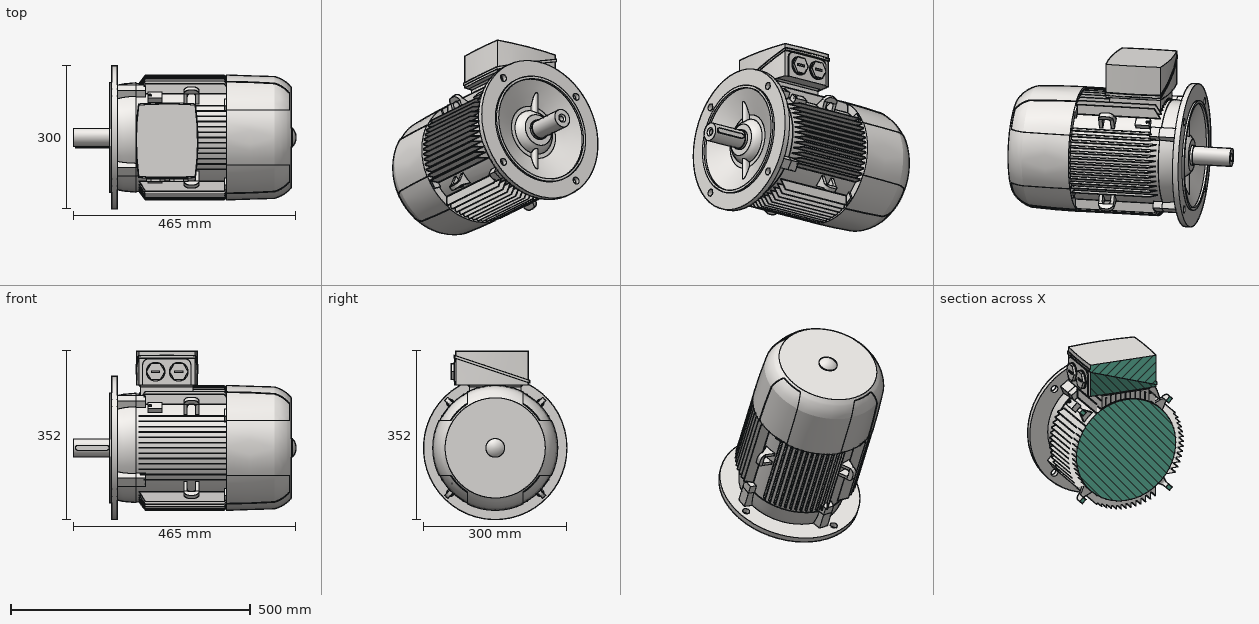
import cadquery as cq
import math


shaft_radius = 19.0
shoulder_radius = 21.0
shoulder_x = 80.0
centre_hole_radius = 5.5
centre_hole_mouth_radius = 9.0
centre_hole_depth = 28.0
drill_point_angle = 118
key_start_x = 4.0
key_length = 70.0
key_width = 10.0
key_height = 8.0
key_top = 22.0

flange_diameter = 300.0
flange_radius = flange_diameter / 2
flange_face_x = 79.5
flange_thickness = 12.0
spigot_radius = 115.0
spigot_height = 4.0
bolt_circle_radius = 132.5
bolt_hole_radius = 7.5
bolt_hole_count = 4
first_bolt_hole_angle = 45
shield_front_radius = 109.5
shield_mid_radius = 113.0
shield_rear_radius = 114.5
shield_rear_x = 130.5
dish_mouth_radius = 109.5
dish_lip = 4.5
dish_floor_radius = 56.5
dish_floor_x = 102.5
hub_radius = 47.5
hub_face_x = 85.0
hub_face_radius = 33.5
hub_bulge = 2.0
rib_width = 12.5
rib_crest_x = 90.0
rib_inner_radius = 30.0
rib_outer_radius = 93.0

frame_radius = 113.0
frame_rear_x = 319.5
fin_tip_radius = 130.0
fin_thickness = 1.5
fins_each_side = 6
outermost_fin_offset = 66.5
fin_pitch = outermost_fin_offset / fins_each_side
fin_front_x = 137.0
fin_full_height_x = 150.0
fin_rear_bevel = 4.5

quarter_turns = (0, 90, 180, 270)
boss_root_radius = 93.0
boss_draft = 12
lug_angle = 55.3
lug_width = 21.0
lug_top_radius = 126.0
lug_rear_x = 150.0
clip_angle = 35
clip_width = 18.0
clip_top_radius = 128.0
clip_length = 4.0
earth_pad_angles = (45, 135)
earth_pad_width = 17.5
earth_pad_top_radius = 125.0
earth_pad_start_x = 155.5
earth_pad_length = 29.8
earth_hole_offset = 4.5
earth_hole_radius = 3.0
earth_hole_depth = 4.5

eye_angle = 45
eye_centre_x = 246.5
eye_length = 32.0
eye_tip_radius = 144.5
eye_tip_thickness = 9.5
eye_shoulder_radius = 132.5
eye_root_radius = 112.0
eye_root_thickness = 26.0
eye_corner_radius = 12.0
eye_hole_length = 17.5
eye_hole_top_radius = 133.0
eye_hole_corner_radius = 5.5

neck_start_x = 140.0
neck_end_x = 249.2
neck_half_width = 53.5
neck_flare = 3.5
neck_flare_angle = 45
box_bottom_z = 131.0

cover_mouth_radius = 130.5
cover_middle_x = 369.5
cover_middle_radius = 129.7
cover_shoulder_x = 420.0
cover_shoulder_radius = 127.5
cover_curve_x = 440.0
cover_curve_radius = 118.5
cover_end_x = 455.2
cover_end_radius = 104.5
panel_edge = 57.5
panel_end_x = 450.5
panel_depth = 1.5
cap_radius = 19.5
cap_rim = 2.0
cap_end_x = 465.0

box_centre_x = 195.5
box_corner_half_length = 58.5
box_middle_half_length = 63.5
box_end_bow = 2.0
box_front_y = -83.2
box_back_y = 69.8
overall_height = 352.0
box_top_z = overall_height - flange_radius
rim_overhang = 2.5
rim_side_overhang = 1.0
rim_bottom_front_z = 188.0
rim_bottom_back_z = 135.5
rim_height = 5.5
gland_plate_start_x = 144.5
gland_plate_end_x = 245.0
gland_plate_top_z = 186.0
gland_plate_corner = 12.5
gland_plate_thickness = 1.5
plug_xs = (171.5, 220.0)
plug_z = 159.0
plug_collar_radius = 19.5
plug_collar_thickness = 2.0
plug_hex_width = 33.5
plug_hex_sides = 6
plug_face_y = -92.0
plug_slot_length = 17.0
plug_slot_width = 3.5
plug_slot_depth = 1.5


def revolved(profile):
    """Turn a profile of (x, radius) drawn in the XY plane about the motor axis."""
    return profile.close().revolve(360, (0, 0, 0), (1, 0, 0))


def disc(start_x, end_x, radius):
    return cq.Workplane("YZ", origin=(start_x, 0, 0)).circle(radius).extrude(end_x - start_x)


def block(x_range, y_range, z_range):
    corner = (x_range[0], y_range[0], z_range[0])
    size = (x_range[1] - x_range[0], y_range[1] - y_range[0], z_range[1] - z_range[0])
    return cq.Workplane("XY").box(*size, centered=False).translate(corner)


def about_axis(shape, angle):
    """Carry a shape standing on the -Y side round the axis, towards +Z."""
    return shape.rotate((0, 0, 0), (1, 0, 0), -angle)


def radial_boss(start_x, end_x, width, top_radius, draft=0):
    """Boss on the -Y side, as wide as given at its top and spreading inwards by the draft angle."""
    top_half = width / 2
    root_half = top_half + (top_radius - boss_root_radius) * math.tan(math.radians(draft))
    return (
        cq.Workplane("YZ", origin=(start_x, 0, 0))
        .moveTo(-top_radius, -top_half)
        .lineTo(-top_radius, top_half)
        .lineTo(-boss_root_radius, root_half)
        .lineTo(-boss_root_radius, -root_half)
        .close()
        .extrude(end_x - start_x)
    )


def make_shaft():
    shaft = disc(0, shoulder_x, shaft_radius).union(disc(shoulder_x, shield_rear_x, shoulder_radius))
    mouth_depth = centre_hole_mouth_radius - centre_hole_radius
    point_depth = centre_hole_radius / math.tan(math.radians(drill_point_angle / 2))
    centre_hole = revolved(
        cq.Workplane("XY")
        .moveTo(0, 0)
        .lineTo(0, centre_hole_mouth_radius)
        .lineTo(mouth_depth, centre_hole_radius)
        .lineTo(centre_hole_depth, centre_hole_radius)
        .lineTo(centre_hole_depth + point_depth, 0)
    )
    return shaft.cut(centre_hole)


def make_key():
    return (
        cq.Workplane("XZ", origin=(key_start_x + key_length / 2, key_height - key_top, 0))
        .slot2D(key_length, key_width)
        .extrude(key_height)
    )


def make_hub():
    """Flat-faced hub whose side swells slightly between its face and the dish floor."""
    return revolved(
        cq.Workplane("XY")
        .moveTo(dish_floor_x, 0)
        .lineTo(dish_floor_x, hub_radius)
        .sagittaArc((hub_face_x, hub_face_radius), -hub_bulge)
        .lineTo(hub_face_x, 0)
    )


def make_dish_ribs():
    """One upright bar across the dish with a half-round crest, open over the hub."""
    crest_radius = rib_width / 2
    crest_axis_x = rib_crest_x + crest_radius
    rear_x = dish_floor_x + rib_width
    upper = (
        cq.Workplane("XY", origin=(0, 0, rib_inner_radius))
        .moveTo(rear_x, -crest_radius)
        .lineTo(crest_axis_x, -crest_radius)
        .threePointArc((rib_crest_x, 0), (crest_axis_x, crest_radius))
        .lineTo(rear_x, crest_radius)
        .close()
        .extrude(rib_outer_radius - rib_inner_radius)
    )
    return upper.union(upper.mirror("XY"))


def make_flange_shield():
    flange_rear_x = flange_face_x + flange_thickness
    shield_mid_x = (flange_rear_x + shield_rear_x) / 2
    spigot_face_x = flange_face_x - spigot_height
    shield = revolved(
        cq.Workplane("XY")
        .moveTo(shield_rear_x, 0)
        .lineTo(shield_rear_x, shield_rear_radius)
        .threePointArc((shield_mid_x, shield_mid_radius), (flange_rear_x, shield_front_radius))
        .lineTo(flange_rear_x, flange_radius)
        .lineTo(flange_face_x, flange_radius)
        .lineTo(flange_face_x, spigot_radius)
        .lineTo(spigot_face_x, spigot_radius)
        .lineTo(spigot_face_x, dish_mouth_radius)
        .lineTo(spigot_face_x + dish_lip, dish_mouth_radius)
        .lineTo(dish_floor_x, dish_floor_radius)
        .lineTo(dish_floor_x, 0)
    )
    shield = shield.union(make_hub()).union(make_dish_ribs())
    for turn in quarter_turns:
        lug = radial_boss(flange_rear_x, shield_rear_x, lug_width, lug_top_radius, boss_draft)
        shield = shield.union(about_axis(lug, lug_angle + turn))
    bolt_holes = (
        cq.Workplane("YZ", origin=(flange_face_x, 0, 0))
        .polarArray(bolt_circle_radius, first_bolt_hole_angle, 360, bolt_hole_count)
        .circle(bolt_hole_radius)
        .extrude(flange_thickness)
    )
    bore = disc(hub_face_x, shield_rear_x, shoulder_radius)
    return shield.cut(bolt_holes).cut(bore)


def make_fins():
    """Parallel plates in both directions, trimmed to a bevelled round envelope."""
    envelope = revolved(
        cq.Workplane("XY")
        .moveTo(fin_front_x, 0)
        .lineTo(fin_front_x, frame_radius)
        .lineTo(fin_full_height_x, fin_tip_radius)
        .lineTo(frame_rear_x - fin_rear_bevel, fin_tip_radius)
        .lineTo(frame_rear_x, fin_tip_radius - fin_rear_bevel)
        .lineTo(frame_rear_x, 0)
    )
    length = frame_rear_x - fin_front_x
    offsets = [step * fin_pitch for step in range(-fins_each_side, fins_each_side + 1)]
    start = cq.Workplane("YZ", origin=(fin_front_x, 0, 0))
    flat_fins = start.pushPoints([(0, z) for z in offsets])
    flat_fins = flat_fins.rect(2 * fin_tip_radius, fin_thickness).extrude(length)
    upright_fins = start.pushPoints([(y, 0) for y in offsets])
    upright_fins = upright_fins.rect(fin_thickness, 2 * fin_tip_radius).extrude(length)
    core = disc(shield_rear_x, frame_rear_x, frame_radius)
    return core.union(flat_fins.intersect(envelope)).union(upright_fins.intersect(envelope))


def make_lifting_eye():
    """A loop on the -Y side of the frame, flat-sided at its tip and spreading to its root."""
    tip_half = eye_tip_thickness / 2
    spread = (eye_root_thickness / 2 - tip_half) / (eye_shoulder_radius - eye_root_radius)
    base_half = tip_half + spread * (eye_shoulder_radius - boss_root_radius)
    wedge = (
        cq.Workplane("YZ", origin=(eye_centre_x - eye_length / 2, 0, 0))
        .moveTo(-boss_root_radius, -base_half)
        .lineTo(-eye_shoulder_radius, -tip_half)
        .lineTo(-eye_tip_radius, -tip_half)
        .lineTo(-eye_tip_radius, tip_half)
        .lineTo(-eye_shoulder_radius, tip_half)
        .lineTo(-boss_root_radius, base_half)
        .close()
        .extrude(eye_length)
    )

    def arch(length, top_radius, corner_radius):
        return (
            block(
                (eye_centre_x - length / 2, eye_centre_x + length / 2),
                (-top_radius, -boss_root_radius),
                (-eye_root_thickness, eye_root_thickness),
            )
            .edges("|Z and <Y")
            .fillet(corner_radius)
        )

    outline = arch(eye_length, eye_tip_radius, eye_corner_radius)
    hole = arch(eye_hole_length, eye_hole_top_radius, eye_hole_corner_radius)
    return wedge.intersect(outline).cut(hole)


def make_earth_pad():
    end_x = earth_pad_start_x + earth_pad_length
    pad = radial_boss(earth_pad_start_x, end_x, earth_pad_width, earth_pad_top_radius)
    hole = (
        cq.Workplane("XZ", origin=(earth_pad_start_x + earth_hole_offset, -earth_pad_top_radius, 0))
        .circle(earth_hole_radius)
        .extrude(-earth_hole_depth)
    )
    return pad.cut(hole)


def make_neck():
    flare_z = box_bottom_z - neck_flare
    neck = block(
        (neck_start_x, neck_end_x),
        (-neck_half_width, neck_half_width),
        (boss_root_radius, flare_z),
    )
    return neck.faces(">Z").wires().toPending().workplane().extrude(neck_flare, taper=-neck_flare_angle)


def make_frame():
    frame = make_fins().union(make_neck())
    core = disc(shield_rear_x, frame_rear_x, frame_radius)
    lug = radial_boss(shield_rear_x, lug_rear_x, lug_width, lug_top_radius, boss_draft)
    clip_start_x = frame_rear_x - clip_length
    clip = radial_boss(clip_start_x, frame_rear_x, clip_width, clip_top_radius, boss_draft)
    eye = make_lifting_eye().cut(core)
    for turn in quarter_turns:
        frame = frame.union(about_axis(lug, lug_angle + turn))
        frame = frame.union(about_axis(clip, clip_angle + turn))
        frame = frame.union(about_axis(eye, eye_angle + turn))
    for angle in earth_pad_angles:
        frame = frame.union(about_axis(make_earth_pad(), angle))
    return frame


def make_cover_shell(inset):
    return revolved(
        cq.Workplane("XY")
        .moveTo(frame_rear_x, 0)
        .lineTo(frame_rear_x, cover_mouth_radius - inset)
        .threePointArc(
            (cover_middle_x, cover_middle_radius - inset),
            (cover_shoulder_x, cover_shoulder_radius - inset),
        )
        .threePointArc(
            (cover_curve_x, cover_curve_radius - inset),
            (cover_end_x, cover_end_radius - inset),
        )
        .lineTo(cover_end_x, 0)
    )


def make_fan_cover():
    """Round cover with four shallow corner panels and a domed cap at its end."""
    cover = make_cover_shell(0)
    inner_shell = make_cover_shell(panel_depth)
    reach = cover_mouth_radius
    corner = block((frame_rear_x, panel_end_x), (-reach, -panel_edge), (panel_edge, reach))
    panel = corner.cut(inner_shell)
    for turn in quarter_turns:
        cover = cover.cut(about_axis(panel, turn))
    cap_edge_x = cover_end_x + cap_rim
    cap_height = cap_end_x - cap_edge_x
    sphere_radius = (cap_radius**2 + cap_height**2) / (2 * cap_height)
    half_angle = math.asin(cap_radius / sphere_radius) / 2
    sphere_x = cap_end_x - sphere_radius
    cap_middle = (
        sphere_x + sphere_radius * math.cos(half_angle),
        sphere_radius * math.sin(half_angle),
    )
    cap = revolved(
        cq.Workplane("XY")
        .moveTo(cover_end_x, 0)
        .lineTo(cover_end_x, cap_radius)
        .lineTo(cap_edge_x, cap_radius)
        .threePointArc(cap_middle, (cap_end_x, 0))
    )
    return cover.union(cap)


def make_box_column(end_overhang=0, side_overhang=0):
    """Full-height column with four bowed walls, widened by the overhangs."""
    corner = box_corner_half_length + side_overhang
    middle = box_middle_half_length + side_overhang
    front_y = box_front_y - end_overhang
    back_y = box_back_y + end_overhang
    front_corner_y = front_y + box_end_bow
    back_corner_y = back_y - box_end_bow
    middle_y = (front_y + back_y) / 2
    return (
        cq.Workplane("XY", origin=(box_centre_x, 0, box_bottom_z))
        .moveTo(-corner, front_corner_y)
        .threePointArc((0, front_y), (corner, front_corner_y))
        .threePointArc((middle, middle_y), (corner, back_corner_y))
        .threePointArc((0, back_y), (-corner, back_corner_y))
        .threePointArc((-middle, middle_y), (-corner, front_corner_y))
        .close()
        .extrude(box_top_z - box_bottom_z)
    )


def make_sloping_slab(bottom_offset, top_offset):
    """Slab parallel to the lid joint, between two heights above the joint."""
    front_y = box_front_y - rim_overhang
    back_y = box_back_y + rim_overhang
    return (
        cq.Workplane("YZ", origin=(box_centre_x, 0, 0))
        .moveTo(front_y, rim_bottom_front_z + bottom_offset)
        .lineTo(back_y, rim_bottom_back_z + bottom_offset)
        .lineTo(back_y, rim_bottom_back_z + top_offset)
        .lineTo(front_y, rim_bottom_front_z + top_offset)
        .close()
        .extrude(box_middle_half_length + rim_side_overhang, both=True)
    )


def make_lid():
    above_joint = make_sloping_slab(0, box_top_z)
    rim_column = make_box_column(rim_overhang, rim_side_overhang)
    rim = rim_column.intersect(make_sloping_slab(0, rim_height))
    return make_box_column().intersect(above_joint).union(rim)


def make_plug(x):
    seat_y = box_front_y - gland_plate_thickness
    collar_y = seat_y - plug_collar_thickness
    collar = cq.Workplane("XZ", origin=(x, seat_y, plug_z))
    collar = collar.circle(plug_collar_radius).extrude(plug_collar_thickness)
    hexagon = cq.Workplane("XZ", origin=(x, collar_y, plug_z))
    hexagon = hexagon.transformed(rotate=(0, 0, 180 / plug_hex_sides))
    hexagon = hexagon.polygon(plug_hex_sides, plug_hex_width, circumscribed=True)
    hexagon = hexagon.extrude(collar_y - plug_face_y)
    slot = cq.Workplane("XZ", origin=(x, plug_face_y, plug_z))
    slot = slot.rect(plug_slot_length, plug_slot_width).extrude(-plug_slot_depth)
    return collar.union(hexagon).cut(slot)


def make_terminal_box():
    box = make_box_column().cut(make_sloping_slab(0, box_top_z))
    gland_plate = (
        block(
            (gland_plate_start_x, gland_plate_end_x),
            (box_front_y - gland_plate_thickness, box_front_y + box_end_bow),
            (box_bottom_z, gland_plate_top_z),
        )
        .edges("|Y and >Z")
        .fillet(gland_plate_corner)
    )
    box = box.union(gland_plate)
    for x in plug_xs:
        box = box.union(make_plug(x))
    return box


key = make_key()
shaft = make_shaft().cut(key)
flange_shield = make_flange_shield()
frame = make_frame()
fan_cover = make_fan_cover()
terminal_box = make_terminal_box()
lid = make_lid()

bodies = [shaft, key, flange_shield, frame, fan_cover, terminal_box, lid]
result = cq.Compound.makeCompound([solid for body in bodies for solid in body.solids().vals()])